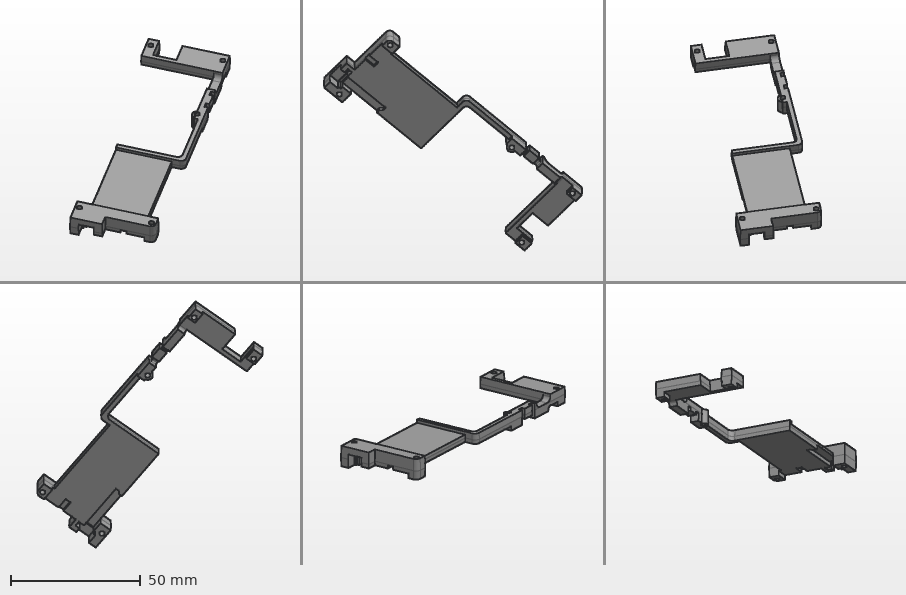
import cadquery as cq
import math


width = 32.89
length = 105.02
front_top = 8.5
rear_top = 6.64
rail_top = 6.25
plate_top = 5.0
parting_z = 3.78
draft_angle = 2.0
underside_z = 1.92
slot_roof_z = 3.16
margin = 1.0

hole_diameter = 2.0
hole_inset = 1.95

bar_front_y = 4.15
bar_rear_y = 9.7
block_width = 13.1
bar_corner_radius = 2.0
front_hole_y = 6.4
foot_left_width = 5.13
front_foot_right_x = 28.65

opening_x = (3.48, 9.57)
opening_roof_z = 5.64
front_wall = 2.1
cavity_right_x = 11.5
recess_x = (4.17, 8.95)
recess_roof_z = 5.26
recess_depth = 1.0

bar_slot_x = (19.1, 21.5)

plate_x = (5.09, 27.7)
wall_front_y = 44.3
wall_rear_y = 46.25
channel_end_y = 23.1
channel_bend_x = (6.6, 7.65)

thin_arm_x = 30.85
thick_arm_x = 29.3
thick_arm_end_y = 68.3
inner_corner_radius = 1.85
outer_corner_radius = 2.0

saddle_front_y = 85.55
saddle_radius = 2.24
arm_foot_rear_y = 93.8
arm_foot_round = 1.2
bridge_y = (75.75, 84.35)
bridge_slot_width = 1.85
bridge_slot_round = 0.6
notch_top_x = 31.35
notch_parting_x = 31.75

boss_x = 29.8
boss_y = 71.05
boss_radius = 2.0
boss_top = 5.73

rear_front_y = 95.0
rear_foot_y = 100.1
rear_hole_y = 101.7
slot_x = (4.3, 13.7)
slot_draft = 0.25
slot_depth = 8.15


def box(x0, x1, y0, y1, z0, z1):
    """Box given by its limits along each axis."""
    return cq.Workplane("XY").box(x1 - x0, y1 - y0, z1 - z0, centered=False).translate((x0, y0, z0))


def along_y(points, y0, y1):
    """Prism along Y from an (x, z) outline."""
    return cq.Workplane("XZ").polyline(points).close().extrude(y0 - y1).translate((0, y0, 0))


def drafted_prism(outline, bottom, top):
    """Prism of a closed outline drawn at the parting level, drafted upward and downward."""
    wire = outline.val()
    upper = cq.Workplane("XY").add(wire).toPending().extrude(top - parting_z, taper=draft_angle)
    lower = cq.Workplane("XY").add(wire).toPending().extrude(parting_z - bottom, taper=draft_angle)
    return upper.union(lower.mirror("XY")).translate((0, 0, parting_z))


def outline_at(points):
    """Closed (x, y) outline."""
    return cq.Workplane("XY").polyline(points).close()


def screw_hole(x, y):
    """Vertical cutter through the full height."""
    return (
        cq.Workplane("XY")
        .center(x, y)
        .circle(hole_diameter / 2)
        .extrude(front_top + 2 * margin)
        .translate((0, 0, -margin))
    )


def front_bar():
    """Full-height drafted bar with a block at its left end and two feet."""
    outline = (
        cq.Workplane("XY")
        .moveTo(0, 0)
        .lineTo(block_width, 0)
        .lineTo(block_width, bar_front_y)
        .lineTo(width - bar_corner_radius, bar_front_y)
        .radiusArc((width, bar_front_y + bar_corner_radius), -bar_corner_radius)
        .lineTo(width, bar_rear_y)
        .lineTo(0, bar_rear_y)
        .close()
    )
    bar = drafted_prism(outline, 0, front_top)
    gap = box(foot_left_width, front_foot_right_x, -margin, bar_rear_y + margin, -margin, underside_z)
    slot = box(*bar_slot_x, bar_front_y - margin, bar_rear_y, -margin, slot_roof_z)
    return bar.cut(gap).cut(slot)


def connector_opening():
    """Window in the front wall, the cavity behind it and a shallower inner recess."""
    window = box(*opening_x, -margin, front_wall, -margin, opening_roof_z)
    cavity = box(opening_x[0], cavity_right_x, front_wall, bar_front_y, -margin, opening_roof_z)
    recess_end_y = bar_front_y + recess_depth
    recess = box(*recess_x, bar_front_y, recess_end_y, -margin, recess_roof_z)
    return window.union(cavity).union(recess)


def cable_channel():
    """Channel under the bar and the plate, open to the left edge of the plate."""
    bend_start_x, bend_end_x = channel_bend_x
    deep_end_y = channel_end_y + bend_end_x - bend_start_x
    under_bar = box(foot_left_width, recess_x[1], bar_front_y, bar_rear_y, -margin, parting_z)
    outline = [
        (plate_x[0] - margin, bar_rear_y),
        (recess_x[1], bar_rear_y),
        (recess_x[1], deep_end_y),
        (bend_end_x, deep_end_y),
        (bend_start_x, channel_end_y),
        (plate_x[0] - margin, channel_end_y),
    ]
    under_plate = outline_at(outline).extrude(parting_z)
    return under_bar.union(under_plate)


def plate_and_rail():
    """Plate, cross wall and thin arm, joined by a rounded corner."""
    plate_outline = outline_at([
        (plate_x[0], bar_rear_y - margin),
        (plate_x[1], bar_rear_y - margin),
        (plate_x[1], wall_rear_y - margin),
        (plate_x[0], wall_rear_y - margin),
    ])
    plate = drafted_prism(plate_outline, underside_z, plate_top)
    rail_end_y = thick_arm_end_y + margin
    rail_outline = (
        cq.Workplane("XY")
        .moveTo(plate_x[0], wall_front_y)
        .lineTo(width - outer_corner_radius, wall_front_y)
        .radiusArc((width, wall_front_y + outer_corner_radius), -outer_corner_radius)
        .lineTo(width, rail_end_y)
        .lineTo(thin_arm_x, rail_end_y)
        .lineTo(thin_arm_x, wall_rear_y + inner_corner_radius)
        .radiusArc((thin_arm_x - inner_corner_radius, wall_rear_y), inner_corner_radius)
        .lineTo(plate_x[0], wall_rear_y)
        .close()
    )
    return plate.union(drafted_prism(rail_outline, underside_z, rail_top))


def arm_saddle():
    """Dip in the top of the arm with a round at each end."""
    block_setback = (rear_top - parting_z) * math.tan(math.radians(draft_angle))
    saddle_rear_y = rear_front_y + block_setback
    saddle = box(
        thick_arm_x - margin, width + margin, saddle_front_y, saddle_rear_y, parting_z, rear_top + margin
    )
    return saddle.edges("|X and <Z").fillet(saddle_radius)


def arm_bridge():
    """Raised underside of the arm with a deeper round-cornered slot at each end."""
    start_y, end_y = bridge_y
    x_limits = (thick_arm_x - margin, width + margin)
    first = box(*x_limits, start_y, start_y + bridge_slot_width, -margin, slot_roof_z)
    first = first.edges("|X and >Z and <Y").fillet(bridge_slot_round)
    last = box(*x_limits, end_y - bridge_slot_width, end_y, -margin, slot_roof_z)
    last = last.edges("|X and >Z and >Y").fillet(bridge_slot_round)
    return box(*x_limits, start_y, end_y, -margin, underside_z).union(first).union(last)


def arm_notches():
    """Notches through the right side of the arm, above the two bridge slots."""
    profile = [
        (width + margin, 0),
        (notch_parting_x, 0),
        (notch_parting_x, parting_z),
        (notch_top_x, rail_top),
        (width + margin, rail_top),
    ]
    start_y, end_y = bridge_y
    first = along_y(profile, start_y, start_y + bridge_slot_width)
    last = along_y(profile, end_y - bridge_slot_width, end_y)
    return first.union(last)


def thick_arm():
    """Thick part of the arm with its hollows and the screw boss."""
    root_y = rear_front_y + margin
    arm_outline = outline_at([
        (thick_arm_x, thick_arm_end_y),
        (width, thick_arm_end_y),
        (width, root_y),
        (thick_arm_x, root_y),
    ])
    arm = drafted_prism(arm_outline, 0, rail_top)
    rear_relief = box(
        thick_arm_x - margin, width + margin, arm_foot_rear_y, root_y + margin, -margin, underside_z
    )
    rear_relief = rear_relief.edges("|X and >Z and <Y").fillet(arm_foot_round)
    boss = cq.Workplane("XY").center(boss_x, boss_y).circle(boss_radius).extrude(boss_top)
    arm = arm.cut(arm_saddle()).cut(rear_relief).cut(arm_bridge()).cut(arm_notches())
    return arm.union(boss)


def rear_block():
    """Block with a drafted open slot and a foot below each screw hole."""
    outline = outline_at([(0, rear_front_y), (width, rear_front_y), (width, length), (0, length)])
    block = drafted_prism(outline, 0, rear_top)
    front_relief = box(-margin, width + margin, rear_front_y - margin, rear_foot_y, -margin, underside_z)
    middle_relief = box(slot_x[0], thick_arm_x, rear_foot_y, length + margin, -margin, underside_z)
    left_x, right_x = slot_x
    slot_profile = [
        (left_x, rear_top),
        (left_x + slot_draft, parting_z),
        (left_x + slot_draft, 0),
        (right_x - slot_draft, 0),
        (right_x - slot_draft, parting_z),
        (right_x, rear_top),
    ]
    slot = along_y(slot_profile, length - slot_depth, length + margin)
    return block.cut(front_relief).cut(middle_relief).cut(slot)


result = front_bar().union(plate_and_rail())
result = result.cut(connector_opening()).cut(cable_channel())
result = result.union(thick_arm()).union(rear_block())

for hole_x in (hole_inset, width - hole_inset):
    for hole_y in (front_hole_y, rear_hole_y):
        result = result.cut(screw_hole(hole_x, hole_y))
result = result.cut(screw_hole(boss_x, boss_y))